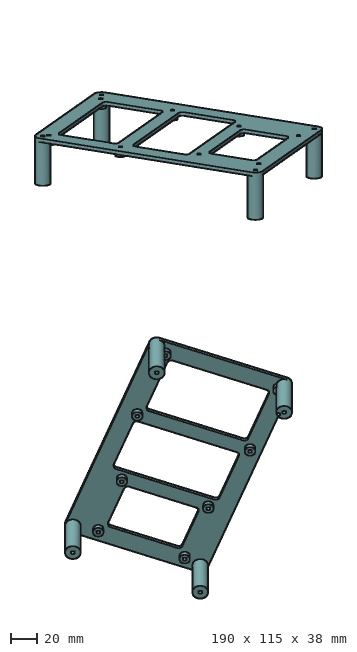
import cadquery as cq

length = 190.0
width = 115.0
plate_thickness = 3.0

total_height = 38.0
leg_diameter = 12.0
corner_radius = leg_diameter / 2
leg_span_x = length - leg_diameter
leg_span_y = width - leg_diameter

boss_diameter = 8.0
boss_height = 4.0
hole_diameter = 2.8

module_center_y = -2.5

left_pattern = (-55.7, 60.0, 91.2)
right_pattern = (60.0, 50.0, 70.0)

window_radius = 3.0
windows = [
    (left_pattern[0], module_center_y, 50.0, 82.0),
    (4.8, 0, 47.0, 85.5),
    (right_pattern[0], module_center_y, 39.9, 60.0),
]


def rectangle_corners(center_x, center_y, span_x, span_y):
    """Corner points of a rectangle with sides along X and Y."""
    return [
        (center_x + sx * span_x / 2, center_y + sy * span_y / 2)
        for sx in (-1, 1)
        for sy in (-1, 1)
    ]


def cylinders(points, diameter, top, bottom):
    """Vertical cylinders between two Z levels."""
    return (
        cq.Workplane("XY", origin=(0, 0, top))
        .pushPoints(points)
        .circle(diameter / 2)
        .extrude(bottom - top)
    )


def rounded_block(center_x, center_y, size_x, size_y, radius):
    """Block as thick as the plate with rounded vertical edges, top at Z = 0."""
    return (
        cq.Workplane("XY")
        .center(center_x, center_y)
        .rect(size_x, size_y)
        .extrude(-plate_thickness)
        .edges("|Z")
        .fillet(radius)
    )


leg_points = rectangle_corners(0, 0, leg_span_x, leg_span_y)
boss_points = []
for center_x, spacing_x, spacing_y in (left_pattern, right_pattern):
    boss_points += rectangle_corners(center_x, module_center_y, spacing_x, spacing_y)

result = rounded_block(0, 0, length, width, corner_radius)
for window in windows:
    result = result.cut(rounded_block(*window, window_radius))

underside = -plate_thickness
legs = cylinders(leg_points, leg_diameter, underside, -total_height)
bosses = cylinders(boss_points, boss_diameter, underside, underside - boss_height)
result = result.union(legs.union(bosses))

holes = cylinders(leg_points + boss_points, hole_diameter, 0, -total_height)
result = result.cut(holes, clean=False)